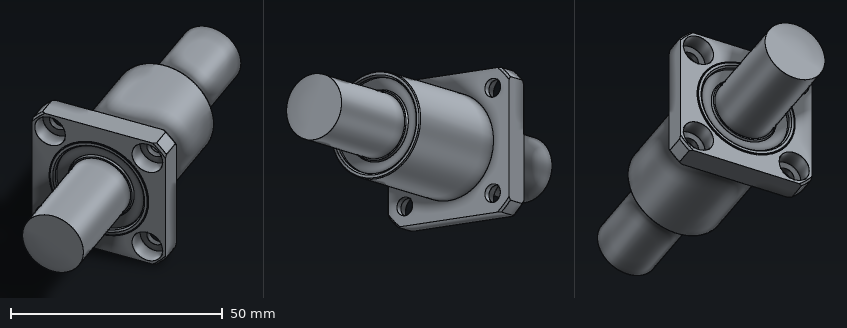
import cadquery as cq
import math


shaft_length = 86.0
shaft_diameter = 16.0

sleeve_length = 36.0
sleeve_diameter = 26.0
sleeve_chamfer = 0.3

recess_diameter = 23.2
recess_depth = 1.3
recess_chamfer = 0.4
lip_base_diameter = 17.4
lip_tip_diameter = 16.8
lip_height = 0.5

flange_width = 35.0
flange_disc_diameter = 46.0
flange_thickness = 6.0
flange_chamfer = 0.5

bolt_circle_diameter = 36.0
bolt_hole_diameter = 4.5
counterbore_diameter = 8.0
counterbore_depth = 4.4

front_y = -sleeve_length / 2


def cylinder(diameter, length, start_y):
    """Cylinder around the Y axis, growing toward +Y from start_y."""
    workplane = cq.Workplane("XZ", origin=(0, start_y, 0))
    return workplane.circle(diameter / 2).extrude(-length)


def make_end_recess():
    """Space removed from the front end of the sleeve, leaving the tapered seal lip."""
    recess_radius = recess_diameter / 2
    floor_y = front_y + recess_depth
    lip_y = floor_y - lip_height
    profile = [
        (0, front_y),
        (recess_radius + recess_chamfer, front_y),
        (recess_radius, front_y + recess_chamfer),
        (recess_radius, floor_y),
        (lip_base_diameter / 2, floor_y),
        (lip_tip_diameter / 2, lip_y),
        (0, lip_y),
    ]
    return cq.Workplane("XY").polyline(profile).close().revolve(360, (0, 0, 0), (0, 1, 0))


def make_sleeve():
    sleeve = cylinder(sleeve_diameter, sleeve_length, front_y).edges().chamfer(sleeve_chamfer)
    front_recess = make_end_recess()
    rear_recess = front_recess.mirror("XZ")
    return sleeve.cut(front_recess).cut(rear_recess)


def make_flange():
    disc = cylinder(flange_disc_diameter, flange_thickness, front_y).edges().chamfer(flange_chamfer)
    square = (
        cq.Workplane("XZ", origin=(0, front_y, 0))
        .rect(flange_width, flange_width)
        .extrude(-flange_thickness)
    )
    sleeve_bore = cylinder(sleeve_diameter, flange_thickness, front_y)
    flange = disc.intersect(square).cut(sleeve_bore)

    bolt_spacing = bolt_circle_diameter / math.sqrt(2)
    bolt_holes = (
        cq.Workplane("XZ", origin=(0, front_y, 0))
        .rect(bolt_spacing, bolt_spacing, forConstruction=True)
        .vertices()
    )
    through_holes = bolt_holes.circle(bolt_hole_diameter / 2).extrude(-flange_thickness)
    counterbores = bolt_holes.circle(counterbore_diameter / 2).extrude(-counterbore_depth)
    return flange.cut(through_holes).cut(counterbores)


shaft = cylinder(shaft_diameter, shaft_length, -shaft_length / 2)
result = make_sleeve().union(make_flange()).union(shaft)